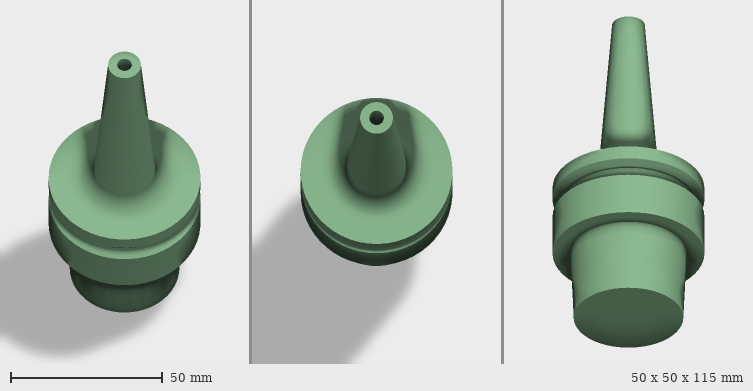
import cadquery as cq

total_height = 115.0
shank_height = 25.2
lower_rim_top = 39.9
groove_bottom = 41.4
groove_top = 44.8
upper_rim_bottom = 46.3
flange_top = 51.1
fillet_top = 55.7

shank_bottom_radius = 18.0
shank_top_radius = 19.2
flange_radius = 25.01
groove_radius = 21.6
groove_shoulder_radius = 22.4
fillet_base_radius = 15.1
neck_base_radius = 10.1
tip_radius = 5.4
bore_radius = 2.4

bore_depth = 34.5

profile = (
    cq.Workplane("XZ")
    .lineTo(shank_bottom_radius, 0)
    .lineTo(shank_top_radius, shank_height)
    .lineTo(flange_radius, shank_height)
    .lineTo(flange_radius, lower_rim_top)
    .lineTo(groove_shoulder_radius, groove_bottom)
    .lineTo(groove_radius, groove_bottom)
    .lineTo(groove_radius, groove_top)
    .lineTo(groove_shoulder_radius, groove_top)
    .lineTo(flange_radius, upper_rim_bottom)
    .lineTo(flange_radius, flange_top)
    .lineTo(fillet_base_radius, flange_top)
    .tangentArcPoint((neck_base_radius, fillet_top), relative=False)
    .lineTo(tip_radius, total_height)
    .lineTo(0, total_height)
    .close()
)
body = profile.revolve(360, (0, 0, 0), (0, 1, 0))

bore = (
    cq.Workplane("XY", origin=(0, 0, total_height - bore_depth))
    .circle(bore_radius)
    .extrude(bore_depth)
)

result = body.cut(bore)